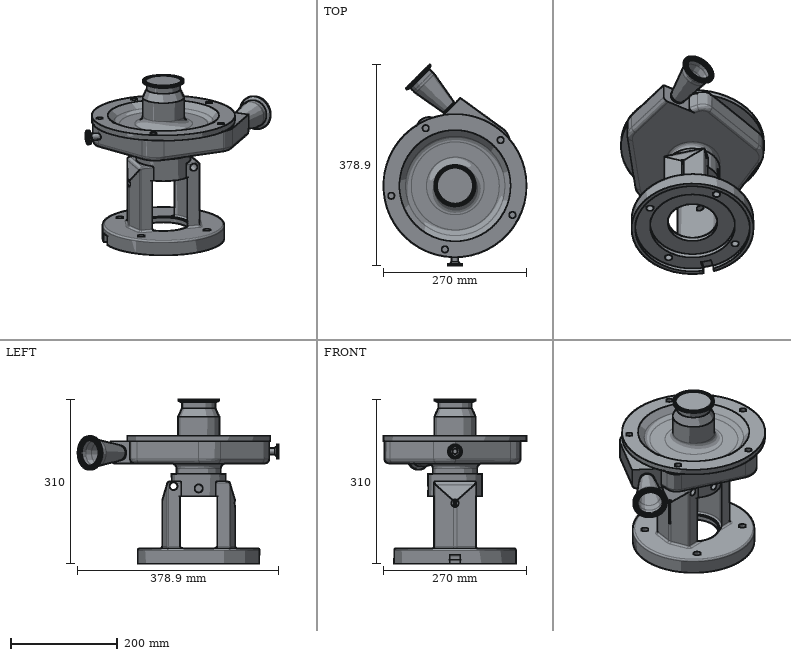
import math

import cadquery as cq

BASE_TOP = 29.0
COLLAR_BOTTOM = 127.0
COLLAR_TOP = 169.4
CASING_BOTTOM = 189.0
FLANGE_BOTTOM = 231.0
FLANGE_TOP = 241.5
TOTAL_HEIGHT = 310.0

PICK_MARGIN = 0.1

BASE_RADIUS = 115.0
BASE_BORE_RADIUS = 46.7
BASE_EDGE_FILLET = 3.5
NOTCH_HEIGHT = 17.5
RABBET_RADIUS = 108.0
RABBET_DEPTH = 8.0
POCKET_RADIUS = 80.0
POCKET_DEPTH = NOTCH_HEIGHT
BASE_BORE_CHAMFER = 2.0
BASE_BOLT_CIRCLE_RADIUS = 92.0
BASE_BOLT_DIAMETER = 13.6
BASE_BOLT_COUNT = 4
FIRST_BASE_BOLT_ANGLE = 45.0
NOTCH_WIDTH = 20.0
NOTCH_BACK_RADIUS = 93.0
NOTCH_BACK_FILLET = 2.0

LEG_HALF_WIDTH = 39.6
LEG_INNER_RADIUS = 52.7
LEG_ROOT_Y = 20.0
LEG_SHOULDER_Y = 59.2
LEG_RIDGE_Y = 69.0
LEG_RIDGE_HALF_WIDTH = 3.0
LEG_TOP = 155.3
LEG_SLOPE_TOP = 149.0
LEG_SLOPE_TOP_Y = 60.0
LEG_SLOPE_BOTTOM = 119.0
LEG_SIDE_FILLET = 2.5
FOOT_FILLET = 3.9
LEG_HOLE_HEIGHT = 114.3
LEG_HOLE_DIAMETER = 13.6
LEG_SLIT_WIDTH = 3.5
LEG_SLIT_BOTTOM = 71.0
LEG_SLIT_TOP = LEG_HOLE_HEIGHT + LEG_HOLE_DIAMETER / 2
CROSS_HOLE_Y = 47.3
CROSS_HOLE_HEIGHT = 146.3
CROSS_HOLE_DIAMETER = 14.2

COLLAR_RADIUS = 51.2
COLLAR_HOLE_DIAMETER = 15.3
COLLAR_HOLE_HEIGHT = 142.0
COLLAR_HOLE_DEPTH = 10.0
NECK_RADIUS = 42.1
NECK_FILLET = 9.0

FACET_DISTANCE = 115.5
FACET_ANGLE = 72.0
FIRST_FACET_NORMAL = 153.0
FULL_FACET_COUNT = 4
CASING_CORNER_RADIUS = 35.5
CASING_BOTTOM_FILLET = 9.0
NORTH_FACET_DISTANCE = 120.5
NORTH_CORNER_RADIUS = 24.0
BLOCK_SIDE_NORMAL = 54.0
BLOCK_SIDE_DISTANCE = 139.7

FLANGE_RADIUS = 135.0
FLANGE_BOLT_CIRCLE_RADIUS = 121.5
FLANGE_BOLT_DIAMETER = 12.2
FLANGE_BOLT_COUNT = 5
FIRST_FLANGE_BOLT_ANGLE = 45.0
BOWL_RIM_RADIUS = 104.8
BOWL_CONE_RADIUS = 93.6
BOWL_FILLET = 15.0
BOWL_WALL_ANGLE = 45.0

INLET_RADIUS = 39.3
INLET_CONE_BOTTOM = 276.8
INLET_CONE_TOP = 293.0
INLET_THROAT_RADIUS = 31.8
INLET_CLAMP_RADIUS = 38.7
INLET_CLAMP_EDGE = 2.8
INLET_CLAMP_HEIGHT = 6.0
INLET_GROOVE_INNER_RADIUS = 33.7
INLET_GROOVE_OUTER_RADIUS = 36.5
GROOVE_DEPTH = 1.0

OUTLET_ANGLE = 135.0
OUTLET_OFFSET = 96.0
OUTLET_HEIGHT = 209.0
BLOCK_FACE = 109.7
OUTLET_CONE_START = 112.5
OUTLET_CONE_END = 176.8
OUTLET_FACE = 194.9
OUTLET_SPIGOT_RADIUS = 13.0
OUTLET_CONE_SMALL_RADIUS = 14.2
OUTLET_PIPE_RADIUS = 25.5
OUTLET_CLAMP_RADIUS = 32.0
OUTLET_CLAMP_EDGE = 2.8
OUTLET_CLAMP_LENGTH = 5.5
OUTLET_WALL = 2.0
OUTLET_BORE_DEPTH = 13.0
OUTLET_BREAK_DEPTH = 25.7
OUTLET_BREAK_RADIUS = 21.0
OUTLET_GROOVE_INNER_RADIUS = 26.5
OUTLET_GROOVE_OUTER_RADIUS = 29.5

DRAIN_HEIGHT = 211.7
DRAIN_FACE_Y = -150.55
DRAIN_ROOT_Y = -125.0
DRAIN_PIPE_RADIUS = 6.6
DRAIN_CLAMP_RADIUS = 13.5
DRAIN_CLAMP_EDGE = 3.8
DRAIN_CLAMP_LENGTH = 7.0
DRAIN_CONE_RADIUS = 9.5
DRAIN_BORE_RADIUS = 4.9
DRAIN_GROOVE_INNER_RADIUS = 9.0
DRAIN_GROOVE_OUTER_RADIUS = 11.5


def cylinder(radius, bottom, top):
    return cq.Workplane("XY").workplane(offset=bottom).circle(radius).extrude(top - bottom)


def polar(radius, degrees):
    angle = math.radians(degrees)
    return radius * math.cos(angle), radius * math.sin(angle)


def line_crossing(first, second):
    """Meeting point of two lines, each given as (normal angle, distance from the origin)."""
    (angle_a, distance_a), (angle_b, distance_b) = first, second
    ax, ay = polar(1, angle_a)
    bx, by = polar(1, angle_b)
    determinant = ax * by - ay * bx
    x = (distance_a * by - distance_b * ay) / determinant
    y = (ax * distance_b - bx * distance_a) / determinant
    return x, y


def make_base():
    """Flanged base with a chamfered bore, a stepped underside, bolt holes and a notch in the -Y rim."""
    base = cylinder(BASE_RADIUS, 0, BASE_TOP).faces(">Z").edges().fillet(BASE_EDGE_FILLET)
    base = base.cut(cylinder(BASE_BORE_RADIUS, 0, BASE_TOP))
    bore_rim = base.faces(">Z").edges(cq.selectors.RadiusNthSelector(0))
    base = bore_rim.chamfer(BASE_BORE_CHAMFER)
    base = base.cut(cylinder(RABBET_RADIUS, 0, RABBET_DEPTH))
    base = base.cut(cylinder(POCKET_RADIUS, 0, POCKET_DEPTH))
    holes = (
        cq.Workplane("XY")
        .polarArray(BASE_BOLT_CIRCLE_RADIUS, FIRST_BASE_BOLT_ANGLE, 360, BASE_BOLT_COUNT)
        .circle(BASE_BOLT_DIAMETER / 2)
        .extrude(BASE_TOP)
    )
    notch = (
        cq.Workplane("XY")
        .box(NOTCH_WIDTH, BASE_RADIUS - NOTCH_BACK_RADIUS, NOTCH_HEIGHT, centered=(True, False, False))
        .translate((0, -BASE_RADIUS, 0))
        .edges(">Y and >Z")
        .fillet(NOTCH_BACK_FILLET)
    )
    return base.cut(holes).cut(notch)


def make_leg():
    """Leg on the +Y side: a shallow roof-shaped prism sloped and rounded at its outer top."""
    leg = (
        cq.Workplane("XY")
        .workplane(offset=BASE_TOP)
        .polyline([
            (-LEG_HALF_WIDTH, LEG_ROOT_Y),
            (LEG_HALF_WIDTH, LEG_ROOT_Y),
            (LEG_HALF_WIDTH, LEG_SHOULDER_Y),
            (LEG_RIDGE_HALF_WIDTH, LEG_RIDGE_Y),
            (-LEG_RIDGE_HALF_WIDTH, LEG_RIDGE_Y),
            (-LEG_HALF_WIDTH, LEG_SHOULDER_Y),
        ])
        .close()
        .extrude(LEG_TOP - BASE_TOP)
    )
    crest_radius = LEG_TOP - LEG_SLOPE_TOP
    crest_y = LEG_SLOPE_TOP_Y - crest_radius
    crest_middle_y = crest_y + crest_radius * math.sin(math.pi / 4)
    crest_middle_z = LEG_SLOPE_TOP + crest_radius * math.cos(math.pi / 4)
    top_waste = (
        cq.Workplane("YZ")
        .moveTo(LEG_RIDGE_Y, LEG_SLOPE_BOTTOM)
        .lineTo(LEG_SLOPE_TOP_Y, LEG_SLOPE_TOP)
        .threePointArc((crest_middle_y, crest_middle_z), (crest_y, LEG_TOP))
        .lineTo(LEG_RIDGE_Y, LEG_TOP)
        .close()
        .extrude(LEG_HALF_WIDTH, both=True)
    )
    leg = leg.cut(top_waste)
    leg = leg.faces("<X or >X").edges("not(<Y or <Z)").fillet(LEG_SIDE_FILLET)
    return leg.cut(cylinder(LEG_INNER_RADIUS, BASE_TOP, COLLAR_BOTTOM))


def make_stand():
    """Base with a leg on each side, filleted at the feet, and the collar held between the legs."""
    leg = make_leg()
    stand = make_base().union(leg).union(leg.mirror("XZ"))
    foot_edges = cq.selectors.BoxSelector(
        (-LEG_HALF_WIDTH - PICK_MARGIN, -LEG_RIDGE_Y - PICK_MARGIN, BASE_TOP - PICK_MARGIN),
        (LEG_HALF_WIDTH + PICK_MARGIN, LEG_RIDGE_Y + PICK_MARGIN, BASE_TOP + PICK_MARGIN),
        boundingbox=True,
    )
    stand = stand.edges(foot_edges).fillet(FOOT_FILLET)
    return stand.union(cylinder(COLLAR_RADIUS, COLLAR_BOTTOM, COLLAR_TOP))


def cut_stand_holes(stand):
    """Round hole in the -Y leg, slit in the +Y leg, cross hole through the +Y leg and collar,
    and a blind hole in the -X side of the collar."""
    leg_hole = (
        cq.Workplane("XZ")
        .center(0, LEG_HOLE_HEIGHT)
        .circle(LEG_HOLE_DIAMETER / 2)
        .extrude(LEG_RIDGE_Y)
    )
    slit = (
        cq.Workplane("XY")
        .box(LEG_SLIT_WIDTH, LEG_RIDGE_Y, LEG_SLIT_TOP - LEG_SLIT_BOTTOM, centered=(True, False, False))
        .translate((0, 0, LEG_SLIT_BOTTOM))
    )
    cross_hole = (
        cq.Workplane("YZ")
        .center(CROSS_HOLE_Y, CROSS_HOLE_HEIGHT)
        .circle(CROSS_HOLE_DIAMETER / 2)
        .extrude(COLLAR_RADIUS, both=True)
    )
    collar_hole = (
        cq.Workplane("YZ")
        .workplane(offset=-COLLAR_RADIUS)
        .center(0, COLLAR_HOLE_HEIGHT)
        .circle(COLLAR_HOLE_DIAMETER / 2)
        .extrude(COLLAR_HOLE_DEPTH)
    )
    return stand.cut(leg_hole).cut(slit).cut(cross_hole).cut(collar_hole)


def make_casing():
    """Rounded pentagon with an outlet block: each side is a line with its normal angle and distance."""
    facets = [
        (FIRST_FACET_NORMAL + FACET_ANGLE * step, FACET_DISTANCE)
        for step in range(FULL_FACET_COUNT)
    ]
    block_side = (BLOCK_SIDE_NORMAL, BLOCK_SIDE_DISTANCE)
    block_face = (OUTLET_ANGLE, BLOCK_FACE)
    north_facet = (FIRST_FACET_NORMAL - FACET_ANGLE, NORTH_FACET_DISTANCE)
    sides = facets + [block_side, block_face, north_facet]
    corners = [line_crossing(sides[i - 1], sides[i]) for i in range(len(sides))]

    casing = (
        cq.Workplane("XY")
        .workplane(offset=CASING_BOTTOM)
        .polyline(corners)
        .close()
        .extrude(FLANGE_BOTTOM - CASING_BOTTOM)
    )
    corner_radii = [NORTH_CORNER_RADIUS] + [CASING_CORNER_RADIUS] * FULL_FACET_COUNT
    middle_height = (CASING_BOTTOM + FLANGE_BOTTOM) / 2
    for (x, y), radius in zip(corners, corner_radii):
        upright_edge = cq.selectors.NearestToPointSelector((x, y, middle_height))
        casing = casing.edges(upright_edge).fillet(radius)

    toward_outlet = cq.Vector(*polar(1, OUTLET_ANGLE), 0)
    face_limit = BLOCK_FACE - PICK_MARGIN
    rounded_edges = casing.faces("<Z").edges().filter(
        lambda edge: edge.Center().dot(toward_outlet) < face_limit
    )
    return rounded_edges.fillet(CASING_BOTTOM_FILLET)


def make_neck():
    """Round neck under the casing, flaring out to meet its underside."""
    flare_radius = NECK_RADIUS + NECK_FILLET
    flare_middle = NECK_FILLET * (1 - math.cos(math.pi / 4))
    return (
        cq.Workplane("XZ")
        .moveTo(0, COLLAR_TOP)
        .lineTo(NECK_RADIUS, COLLAR_TOP)
        .lineTo(NECK_RADIUS, CASING_BOTTOM - NECK_FILLET)
        .threePointArc(
            (NECK_RADIUS + flare_middle, CASING_BOTTOM - flare_middle),
            (flare_radius, CASING_BOTTOM),
        )
        .lineTo(0, CASING_BOTTOM)
        .close()
        .revolve(360, (0, 0, 0), (0, 1, 0))
    )


def make_flange():
    holes = (
        cq.Workplane("XY")
        .workplane(offset=FLANGE_BOTTOM)
        .polarArray(FLANGE_BOLT_CIRCLE_RADIUS, FIRST_FLANGE_BOLT_ANGLE, 360, FLANGE_BOLT_COUNT)
        .circle(FLANGE_BOLT_DIAMETER / 2)
        .extrude(FLANGE_TOP - FLANGE_BOTTOM)
    )
    return cylinder(FLANGE_RADIUS, FLANGE_BOTTOM, FLANGE_TOP).cut(holes)


def make_bowl():
    """Ring-shaped hollow of the top: sloped wall, rounded outer corner, floor, and flare up to the inlet."""
    wall_angle = math.radians(BOWL_WALL_ANGLE)
    cone_bottom = FLANGE_TOP - (BOWL_RIM_RADIUS - BOWL_CONE_RADIUS) * math.tan(wall_angle)
    floor = cone_bottom - BOWL_FILLET * (1 - math.cos(wall_angle))
    floor_outer_radius = BOWL_CONE_RADIUS - BOWL_FILLET * math.sin(wall_angle)
    floor_inner_radius = INLET_RADIUS + BOWL_FILLET
    corner_middle = (
        floor_outer_radius + BOWL_FILLET * math.sin(wall_angle / 2),
        floor + BOWL_FILLET * (1 - math.cos(wall_angle / 2)),
    )
    flare_middle = BOWL_FILLET * (1 - math.cos(math.pi / 4))
    return (
        cq.Workplane("XZ")
        .moveTo(BOWL_RIM_RADIUS, FLANGE_TOP)
        .lineTo(BOWL_CONE_RADIUS, cone_bottom)
        .threePointArc(corner_middle, (floor_outer_radius, floor))
        .lineTo(floor_inner_radius, floor)
        .threePointArc(
            (INLET_RADIUS + flare_middle, floor + flare_middle),
            (INLET_RADIUS, floor + BOWL_FILLET),
        )
        .lineTo(INLET_RADIUS, FLANGE_TOP)
        .close()
        .revolve(360, (0, 0, 0), (0, 1, 0))
    )


def make_inlet():
    """Closed inlet pipe: cylinder, cone, throat and clamp ferrule with a gasket groove."""
    profile = [
        (0, FLANGE_BOTTOM),
        (INLET_RADIUS, FLANGE_BOTTOM),
        (INLET_RADIUS, INLET_CONE_BOTTOM),
        (INLET_THROAT_RADIUS, INLET_CONE_TOP),
        (INLET_THROAT_RADIUS, TOTAL_HEIGHT - INLET_CLAMP_HEIGHT),
        (INLET_CLAMP_RADIUS, TOTAL_HEIGHT - INLET_CLAMP_EDGE),
        (INLET_CLAMP_RADIUS, TOTAL_HEIGHT),
        (INLET_GROOVE_OUTER_RADIUS, TOTAL_HEIGHT),
        (INLET_GROOVE_OUTER_RADIUS, TOTAL_HEIGHT - GROOVE_DEPTH),
        (INLET_GROOVE_INNER_RADIUS, TOTAL_HEIGHT - GROOVE_DEPTH),
        (INLET_GROOVE_INNER_RADIUS, TOTAL_HEIGHT),
        (0, TOTAL_HEIGHT),
    ]
    return cq.Workplane("XZ").polyline(profile).close().revolve(360, (0, 0, 0), (0, 1, 0))


def make_outlet():
    """Flared discharge nozzle on the block face, hollow from its ferrule down to the block."""
    bore_radius = OUTLET_PIPE_RADIUS - OUTLET_WALL
    small_bore_radius = OUTLET_SPIGOT_RADIUS - OUTLET_WALL
    profile = [
        (BLOCK_FACE, small_bore_radius),
        (BLOCK_FACE, OUTLET_SPIGOT_RADIUS),
        (OUTLET_CONE_START, OUTLET_SPIGOT_RADIUS),
        (OUTLET_CONE_START, OUTLET_CONE_SMALL_RADIUS),
        (OUTLET_CONE_END, OUTLET_PIPE_RADIUS),
        (OUTLET_FACE - OUTLET_CLAMP_LENGTH, OUTLET_PIPE_RADIUS),
        (OUTLET_FACE - OUTLET_CLAMP_EDGE, OUTLET_CLAMP_RADIUS),
        (OUTLET_FACE, OUTLET_CLAMP_RADIUS),
        (OUTLET_FACE, OUTLET_GROOVE_OUTER_RADIUS),
        (OUTLET_FACE - GROOVE_DEPTH, OUTLET_GROOVE_OUTER_RADIUS),
        (OUTLET_FACE - GROOVE_DEPTH, OUTLET_GROOVE_INNER_RADIUS),
        (OUTLET_FACE, OUTLET_GROOVE_INNER_RADIUS),
        (OUTLET_FACE, bore_radius),
        (OUTLET_FACE - OUTLET_BORE_DEPTH, bore_radius),
        (OUTLET_FACE - OUTLET_BREAK_DEPTH, OUTLET_BREAK_RADIUS),
        (OUTLET_CONE_START, small_bore_radius),
    ]
    nozzle = cq.Workplane("XY").polyline(profile).close().revolve(360, (0, 0, 0), (1, 0, 0))
    return (
        nozzle.translate((0, -OUTLET_OFFSET, OUTLET_HEIGHT))
        .rotate((0, 0, 0), (0, 0, 1), OUTLET_ANGLE)
    )


def make_drain():
    """Small drain pipe on the -Y side ending in a clamp ferrule."""
    profile = [
        (0, DRAIN_ROOT_Y),
        (DRAIN_PIPE_RADIUS, DRAIN_ROOT_Y),
        (DRAIN_PIPE_RADIUS, DRAIN_FACE_Y + DRAIN_CLAMP_LENGTH),
        (DRAIN_CONE_RADIUS, DRAIN_FACE_Y + DRAIN_CLAMP_EDGE),
        (DRAIN_CLAMP_RADIUS, DRAIN_FACE_Y + DRAIN_CLAMP_EDGE),
        (DRAIN_CLAMP_RADIUS, DRAIN_FACE_Y),
        (DRAIN_GROOVE_OUTER_RADIUS, DRAIN_FACE_Y),
        (DRAIN_GROOVE_OUTER_RADIUS, DRAIN_FACE_Y + GROOVE_DEPTH),
        (DRAIN_GROOVE_INNER_RADIUS, DRAIN_FACE_Y + GROOVE_DEPTH),
        (DRAIN_GROOVE_INNER_RADIUS, DRAIN_FACE_Y),
        (0, DRAIN_FACE_Y),
    ]
    drain = cq.Workplane("XY").polyline(profile).close().revolve(360, (0, 0, 0), (0, 1, 0))
    return drain.translate((0, 0, DRAIN_HEIGHT))


def make_drain_bore():
    return (
        cq.Workplane("XZ", origin=(0, DRAIN_ROOT_Y, DRAIN_HEIGHT))
        .circle(DRAIN_BORE_RADIUS)
        .extrude(DRAIN_ROOT_Y - DRAIN_FACE_Y)
    )


stand = cut_stand_holes(make_stand())
head = make_casing().union(make_flange()).cut(make_bowl()).union(make_inlet())
head = head.union(make_drain()).cut(make_drain_bore()).union(make_outlet())
result = head.union(make_neck()).union(stand)